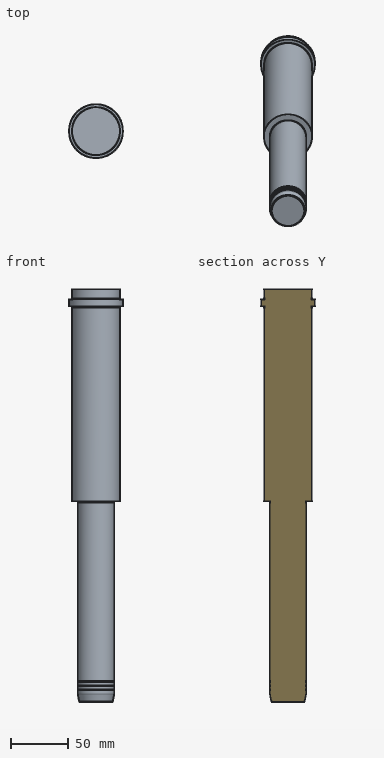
import cadquery as cq

total_length = 360.0
rod_radius = 32.0 / 2
sleeve_radius = 42.0 / 2
collar_radius = 47.0 / 2

sleeve_length = 185.0
collar_thickness = 6.0
collar_drop = 9.0

nose_length = 7.2
nose_end_radius = 14.8
nose_chamfer = 0.7

groove_count = 3
groove_pitch = 3.5
groove_width = 1.0
groove_depth = 0.5

sleeve_bottom = total_length - sleeve_length
collar_top = total_length - collar_drop
collar_bottom = collar_top - collar_thickness


def make_body():
    """Revolve the stepped outline of rod, sleeve and collar about Z."""
    outline = (
        cq.Workplane("XZ")
        .lineTo(nose_end_radius - nose_chamfer, 0)
        .lineTo(nose_end_radius, nose_chamfer)
        .lineTo(rod_radius, nose_length)
        .lineTo(rod_radius, sleeve_bottom)
        .lineTo(sleeve_radius, sleeve_bottom)
        .lineTo(sleeve_radius, collar_bottom)
        .lineTo(collar_radius, collar_bottom)
        .lineTo(collar_radius, collar_top)
        .lineTo(sleeve_radius, collar_top)
        .lineTo(sleeve_radius, total_length)
        .lineTo(0, total_length)
        .close()
    )
    return outline.revolve(360, (0, 0, 0), (0, 1, 0))


def make_groove(surface_radius, bottom):
    """Ring to cut from a round surface, starting at the given height."""
    return (
        cq.Workplane("XY")
        .workplane(offset=bottom)
        .circle(surface_radius + groove_depth)
        .circle(surface_radius - groove_depth)
        .extrude(groove_width)
    )


result = make_body()

for index in range(groove_count):
    groove_middle = nose_length + (index + 1) * groove_pitch
    result = result.cut(make_groove(rod_radius, groove_middle - groove_width / 2))

collar_relief_rings = (
    make_groove(sleeve_radius, collar_top),
    make_groove(sleeve_radius, collar_bottom - groove_width),
)
for ring in collar_relief_rings:
    result = result.cut(ring)
result = result.cut(make_groove(rod_radius, sleeve_bottom - groove_width))